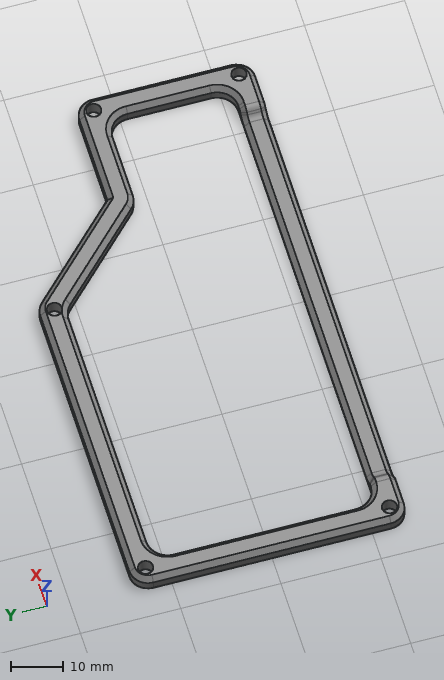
import cadquery as cq
import math

length = 108.2
depth = 54.7
height = 3.0
rail_width = 5.0
edge_chamfer = 1.1

step_depth = 35.0
step_corner_x = 85.6
diagonal_top_x = 65.7
diagonal_angle = math.atan2(depth - step_depth, step_corner_x - diagonal_top_x)
outer_radius = 3.7
inner_radius = 4.2

hole_diameter = 2.9
hole_inset = 3.0
diagonal_hole_x = 64.0
diagonal_hole_inset = 2.8

lowered_height = 1.5
left_ramp_start = 9.2
right_ramp_start = length - 10.0
ramp_radius = 2.0
ramp_angle = math.radians(45)


def outer_body():
    """Solid plate; only the inward corner beside the step stays sharp."""
    points = [
        (0, 0),
        (length, 0),
        (length, step_depth),
        (step_corner_x, step_depth),
        (diagonal_top_x, depth),
        (0, depth),
    ]
    rounded = [point for point in points if point != (step_corner_x, step_depth)]
    plate = cq.Workplane("XY").polyline(points).close().extrude(height)
    for x, y in rounded:
        corner = cq.selectors.NearestToPointSelector((x, y, height / 2))
        plate = plate.edges("|Z").edges(corner).fillet(outer_radius)
    return plate


def inner_opening():
    """Window that leaves the same rail width on every side."""
    diagonal_shift = rail_width * math.tan(diagonal_angle / 2)
    right = length - rail_width
    points = [
        (rail_width, rail_width),
        (right, rail_width),
        (right, step_depth - rail_width),
        (step_corner_x - diagonal_shift, step_depth - rail_width),
        (diagonal_top_x - diagonal_shift, depth - rail_width),
        (rail_width, depth - rail_width),
    ]
    window = cq.Workplane("XY").polyline(points).close().extrude(height)
    return window.edges("|Z").fillet(inner_radius)


def front_rail_cut():
    """Shallow trapezoid with rounded ramp ends, cut across the front rail."""
    ramp_drop = height - lowered_height
    bend_tangent = ramp_radius * math.tan(ramp_angle / 2)
    ramp_run = ramp_drop / math.tan(ramp_angle)
    top_left = left_ramp_start + bend_tangent
    top_right = right_ramp_start - bend_tangent
    cut_top = height + ramp_drop
    points = [
        (0, cut_top),
        (0, height),
        (top_left, height),
        (top_left + ramp_run, lowered_height),
        (top_right - ramp_run, lowered_height),
        (top_right, height),
        (length, height),
        (length, cut_top),
    ]
    cutter = cq.Workplane("XZ").polyline(points).close().extrude(-rail_width)
    bends = cq.selectors.BoxSelector(
        (left_ramp_start, 0, 0), (right_ramp_start, rail_width, cut_top - ramp_drop / 2)
    )
    return cutter.edges("|Y").edges(bends).fillet(ramp_radius)


def screw_holes():
    right = length - hole_inset
    centers = [
        (hole_inset, hole_inset),
        (right, hole_inset),
        (right, step_depth - hole_inset),
        (diagonal_hole_x, depth - diagonal_hole_inset),
        (hole_inset, depth - hole_inset),
    ]
    return cq.Workplane("XY").pushPoints(centers).circle(hole_diameter / 2).extrude(height)


frame = outer_body().cut(inner_opening()).cut(front_rail_cut())

crossing_box = cq.selectors.BoxSelector(
    (left_ramp_start - ramp_radius, 0, 0),
    (right_ramp_start + ramp_radius, rail_width, height + ramp_radius),
)
bottom_edges = frame.faces("<Z").edges().vals()
upright_edges = frame.edges("|Z").vals()
crossing_edges = frame.edges("|Y").edges(crossing_box).vals()
other_edges = bottom_edges + upright_edges + crossing_edges
rim_edges = [edge for edge in frame.edges().vals() if edge not in other_edges]
frame = frame.newObject(rim_edges).chamfer(edge_chamfer)
result = frame.cut(screw_holes())